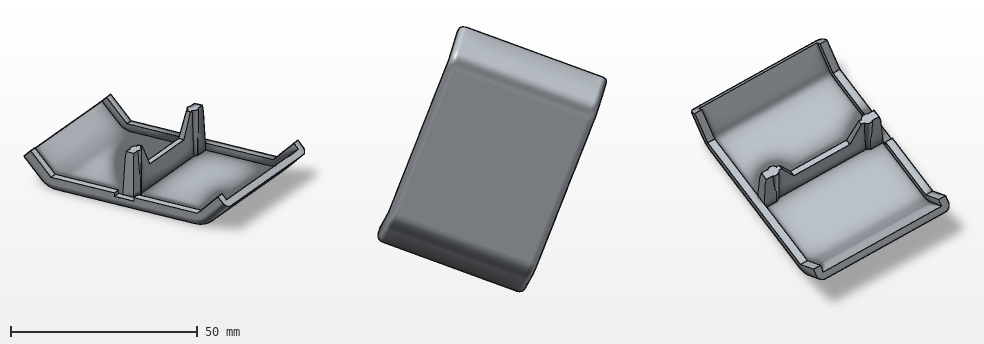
import cadquery as cq
import math

length = 63.9
width = 42.2
height = 15.4
rim_height = 4.0
rim_width = 2.25
floor_thickness = 2.0
bend_angle = 45.0
bend_radius = 7.2
bend_corner_x = 24.4
edge_radius = 2.0

notch_width = 6.0
notch_floor = 3.0

post_half_base = 1.7
post_half_top = 1.2
post_radius = 1.55
post_center_y = 15.0
web_half_base = 1.0
web_half_top = 0.65
web_height = 8.7
web_half_length = 8.95
web_slope_top_y = 12.7
tip_y = 18.0
shoulder_y = 18.45
shoulder_height = 13.4
foot_overlap = 0.1

half_length = length / 2
rim_inner_y = width / 2 - rim_width
foot_y = rim_inner_y + foot_overlap


def corner_and_tip(offset):
    """Corner and tip of the bent sheet at a distance above its underside, on the +X half."""
    angle = math.radians(bend_angle)
    corner_x = bend_corner_x - offset * math.tan(angle / 2)
    tip_x = half_length - offset * math.sin(angle)
    tip_z = (half_length - bend_corner_x) * math.tan(angle) + offset * math.cos(angle)
    return (corner_x, offset), (tip_x, tip_z)


def round_bends(sheet, offset, radius):
    """Round both bends of the sheet at a distance above its underside."""
    corner_x = corner_and_tip(offset)[0][0]
    for sign in (-1, 1):
        bend_edge = cq.selectors.NearestToPointSelector((sign * corner_x, 0, offset))
        sheet = sheet.edges("|Y").edges(bend_edge).fillet(radius)
    return sheet


def bent_sheet(thickness, span_y):
    """Sheet with both ends bent up, rounded on its underside."""
    right_side = [*corner_and_tip(0), *reversed(corner_and_tip(thickness))]
    left_side = [(-x, z) for x, z in reversed(right_side)]
    sheet = (
        cq.Workplane("XZ")
        .polyline(right_side + left_side)
        .close()
        .extrude(span_y / 2, both=True)
    )
    return round_bends(sheet, 0, bend_radius)


def make_tray():
    rims = bent_sheet(rim_height, width)
    for sign in (-1, 1):
        underside_edge = cq.selectors.NearestToPointSelector((0, sign * width / 2, 0))
        rims = rims.edges("|X").edges(underside_edge).fillet(edge_radius)
    channel = cq.Workplane("XY").box(2 * length, 2 * rim_inner_y, 2 * length)
    floor = bent_sheet(floor_thickness, 2 * rim_inner_y)
    floor = round_bends(floor, floor_thickness, bend_radius - floor_thickness)
    return rims.cut(channel).union(floor)


def drafted_bar(half_base, half_top, y_start, y_end):
    """Bar along Y standing on the floor, narrowing evenly towards the top of the part."""
    return (
        cq.Workplane("XZ", origin=(0, y_start, 0))
        .polyline([
            (-half_base, floor_thickness),
            (half_base, floor_thickness),
            (half_top, height),
            (-half_top, height),
        ])
        .close()
        .extrude(y_start - y_end)
    )


def clip_side_profile():
    """Clip seen along X: bevelled post tips and a sloped valley down to the web."""
    right_side = [
        (foot_y, floor_thickness),
        (shoulder_y, shoulder_height),
        (tip_y, height),
        (web_slope_top_y, height),
        (web_half_length, web_height),
    ]
    left_side = [(-y, z) for y, z in reversed(right_side)]
    return cq.Workplane("YZ").polyline(right_side + left_side).close().extrude(width, both=True)


def make_clip():
    clip = drafted_bar(web_half_base, web_half_top, -post_center_y, post_center_y)
    for sign in (-1, 1):
        column = (
            cq.Workplane("XY", origin=(0, sign * post_center_y, floor_thickness))
            .circle(post_radius)
            .extrude(height - floor_thickness)
        )
        post = drafted_bar(post_half_base, post_half_top, sign * post_center_y, sign * foot_y)
        clip = clip.union(column).union(post)
    return clip.intersect(clip_side_profile())


def make_notch():
    depth = rim_height - notch_floor
    return (
        cq.Workplane("XY", origin=(0, -width / 2, notch_floor))
        .box(notch_width, rim_width, depth, centered=(True, False, False))
    )


result = make_tray().cut(make_notch()).union(make_clip())